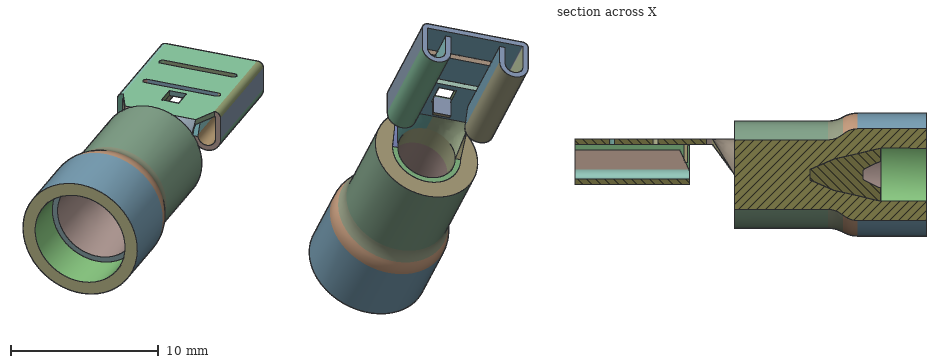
import cadquery as cq
import math

OVERALL_LENGTH = 23.8
SHEET = 0.38

SLEEVE_LENGTH = 13.0
MOUTH_RADIUS = 4.175
GRIP_RADIUS = 3.64
MOUTH_LENGTH = 4.65
SHOULDER_LENGTH = 2.0

BARREL_START = 3.1
BARREL_MOUTH_RADIUS = 3.28
BARREL_RADIUS = 2.42
BARREL_TAPER_END = 11.3

PLATE_TOP = BARREL_RADIUS
PLATE_BOTTOM = PLATE_TOP - SHEET
NECK_END = 14.5
NECK_HALF_WIDTH = 2.58
RECEPTACLE_LENGTH = 7.76
RECEPTACLE_START = OVERALL_LENGTH - RECEPTACLE_LENGTH
RECEPTACLE_HALF_WIDTH = 3.77
CORNER_RADIUS = 0.44
CURL_RADIUS = 1.02
CURL_BOTTOM = -0.67
CURL_END_GAP = 0.38
CURL_SLOPE_BOTTOM = 0.25
CURL_SLOPE_ANGLE = 25

SLOT_LENGTH = 5.64
SLOT_WIDTH = 0.48
SLOT_POSITIONS = (18.35, 21.29)

WINDOW_WIDTH = 1.24
WINDOW_START = 16.19
WINDOW_LENGTH = 1.47
TAB_THICKNESS = 0.24
TAB_BOTTOM = 0.83
TAB_INNER_BEND = 0.18


def revolve_about_wire_axis(profile):
    """Revolve a profile, drawn in YZ with Z as the radius, about the Y axis."""
    return profile.close().revolve(360, (0, 0, 0), (1, 0, 0))


def barrel_envelope():
    """Solid with the outside shape of the barrel, from its open end to the sleeve's far end."""
    return revolve_about_wire_axis(
        cq.Workplane("YZ")
        .moveTo(BARREL_START, 0)
        .lineTo(BARREL_START, BARREL_MOUTH_RADIUS)
        .lineTo(BARREL_TAPER_END, BARREL_RADIUS)
        .lineTo(SLEEVE_LENGTH, BARREL_RADIUS)
        .lineTo(SLEEVE_LENGTH, 0)
    )


def make_sleeve():
    """Insulating sleeve with an S-shaped shoulder and a bore that matches the barrel."""
    half_drop = (MOUTH_RADIUS - GRIP_RADIUS) / 2
    half_length = SHOULDER_LENGTH / 2
    shoulder_start = MOUTH_LENGTH
    shoulder_middle = (shoulder_start + half_length, MOUTH_RADIUS - half_drop)
    shoulder_end = (shoulder_start + SHOULDER_LENGTH, GRIP_RADIUS)
    body = revolve_about_wire_axis(
        cq.Workplane("YZ")
        .lineTo(0, MOUTH_RADIUS)
        .lineTo(shoulder_start, MOUTH_RADIUS)
        .tangentArcPoint(shoulder_middle, relative=False)
        .tangentArcPoint(shoulder_end, relative=False)
        .lineTo(SLEEVE_LENGTH, GRIP_RADIUS)
        .lineTo(SLEEVE_LENGTH, 0)
    )
    wire_entry = cq.Workplane("XZ").circle(BARREL_MOUTH_RADIUS).extrude(-BARREL_START)
    return body.cut(wire_entry).cut(barrel_envelope())


def make_barrel():
    """Wire barrel: a tapered tube leading into a straight one, of constant wall."""
    bore = revolve_about_wire_axis(
        cq.Workplane("YZ")
        .moveTo(BARREL_START, 0)
        .lineTo(BARREL_START, BARREL_MOUTH_RADIUS - SHEET)
        .lineTo(BARREL_TAPER_END, BARREL_RADIUS - SHEET)
        .lineTo(SLEEVE_LENGTH, BARREL_RADIUS - SHEET)
        .lineTo(SLEEVE_LENGTH, 0)
    )
    return barrel_envelope().cut(bore)


def make_neck():
    """Neck that opens out from the barrel's upper half into the flat plate, mirrored about the middle."""
    outer_radius = BARREL_RADIUS
    inner_radius = BARREL_RADIUS - SHEET
    outer_diagonal = outer_radius * math.sqrt(0.5)
    inner_diagonal = inner_radius * math.sqrt(0.5)
    half_neck = (
        cq.Workplane("XZ", origin=(0, SLEEVE_LENGTH, 0))
        .moveTo(0, outer_radius)
        .threePointArc((outer_diagonal, outer_diagonal), (outer_radius, 0))
        .lineTo(inner_radius, 0)
        .threePointArc((inner_diagonal, inner_diagonal), (0, inner_radius))
        .close()
        .workplane(offset=SLEEVE_LENGTH - NECK_END)
        .moveTo(0, PLATE_TOP)
        .lineTo(NECK_HALF_WIDTH, PLATE_TOP)
        .lineTo(NECK_HALF_WIDTH, PLATE_BOTTOM)
        .lineTo(0, PLATE_BOTTOM)
        .close()
        .loft(ruled=True)
    )
    return half_neck.union(half_neck.mirror("YZ"))


def make_plate():
    """Flat plate that widens from the neck and runs to the open end of the receptacle."""
    half_width = RECEPTACLE_HALF_WIDTH - CORNER_RADIUS
    return (
        cq.Workplane("XY", origin=(0, 0, PLATE_BOTTOM))
        .polyline([
            (-NECK_HALF_WIDTH, NECK_END),
            (NECK_HALF_WIDTH, NECK_END),
            (half_width, RECEPTACLE_START),
            (half_width, OVERALL_LENGTH),
            (-half_width, OVERALL_LENGTH),
            (-half_width, RECEPTACLE_START),
        ])
        .close()
        .extrude(SHEET)
    )


def make_side_wall():
    """Side wall on +X: bent down from the plate, then rolled inward and up again."""
    outer_x = RECEPTACLE_HALF_WIDTH
    bend_x = outer_x - CORNER_RADIUS
    bend_z = PLATE_TOP - CORNER_RADIUS
    bend_inner = CORNER_RADIUS - SHEET
    curl_x = outer_x - CURL_RADIUS
    curl_z = CURL_BOTTOM + CURL_RADIUS
    curl_inner = CURL_RADIUS - SHEET
    curl_end = PLATE_BOTTOM - CURL_END_GAP
    diagonal = math.sqrt(0.5)
    bend_outer_middle = (bend_x + CORNER_RADIUS * diagonal, bend_z + CORNER_RADIUS * diagonal)
    bend_inner_middle = (bend_x + bend_inner * diagonal, bend_z + bend_inner * diagonal)
    wall = (
        cq.Workplane("XZ", origin=(0, RECEPTACLE_START, 0))
        .moveTo(bend_x, PLATE_TOP)
        .threePointArc(bend_outer_middle, (outer_x, bend_z))
        .lineTo(outer_x, curl_z)
        .threePointArc((curl_x, CURL_BOTTOM), (curl_x - CURL_RADIUS, curl_z))
        .lineTo(curl_x - CURL_RADIUS, curl_end)
        .lineTo(curl_x - curl_inner, curl_end)
        .lineTo(curl_x - curl_inner, curl_z)
        .threePointArc((curl_x, curl_z - curl_inner), (curl_x + curl_inner, curl_z))
        .lineTo(outer_x - SHEET, bend_z)
        .threePointArc(bend_inner_middle, (bend_x, PLATE_BOTTOM))
        .close()
        .extrude(-RECEPTACLE_LENGTH)
    )

    slope_height = curl_end - CURL_SLOPE_BOTTOM
    slope_run = slope_height * math.tan(math.radians(CURL_SLOPE_ANGLE))
    sloped_corner = (
        cq.Workplane("YZ", origin=(curl_x - CURL_RADIUS, 0, 0))
        .moveTo(RECEPTACLE_START, CURL_SLOPE_BOTTOM)
        .lineTo(RECEPTACLE_START + slope_run, curl_end)
        .lineTo(RECEPTACLE_START, curl_end)
        .close()
        .extrude(CURL_RADIUS)
    )
    return wall.cut(sloped_corner)


def make_plate_openings():
    """Cutters for the cross slots and for the window."""
    window = (
        cq.Workplane("XY", origin=(0, WINDOW_START + WINDOW_LENGTH / 2, PLATE_BOTTOM))
        .rect(WINDOW_WIDTH, WINDOW_LENGTH)
        .extrude(SHEET)
    )
    slots = (
        cq.Workplane("XY", origin=(0, 0, PLATE_BOTTOM))
        .pushPoints([(0, y) for y in SLOT_POSITIONS])
        .slot2D(SLOT_LENGTH, SLOT_WIDTH)
        .extrude(SHEET)
    )
    return window.union(slots)


def make_tab():
    """Locking tab bent straight down from the neck-side edge of the window."""
    front = WINDOW_START
    back = front + TAB_THICKNESS
    diagonal = math.sqrt(0.5)
    outer_bend_middle = (
        front + TAB_THICKNESS * diagonal,
        PLATE_TOP - TAB_THICKNESS * (1 - diagonal),
    )
    inner_bend_middle = (
        front - TAB_INNER_BEND * (1 - diagonal),
        PLATE_BOTTOM - TAB_INNER_BEND * (1 - diagonal),
    )
    return (
        cq.Workplane("YZ", origin=(-WINDOW_WIDTH / 2, 0, 0))
        .moveTo(front, PLATE_TOP)
        .threePointArc(outer_bend_middle, (back, PLATE_TOP - TAB_THICKNESS))
        .lineTo(back, TAB_BOTTOM)
        .lineTo(front, TAB_BOTTOM)
        .lineTo(front, PLATE_BOTTOM - TAB_INNER_BEND)
        .threePointArc(inner_bend_middle, (front - TAB_INNER_BEND, PLATE_BOTTOM))
        .lineTo(front, PLATE_BOTTOM)
        .close()
        .extrude(WINDOW_WIDTH)
    )


def make_terminal():
    """Sheet-metal terminal: barrel, neck, plate, rolled side walls and locking tab."""
    side_wall = make_side_wall()
    plate = make_plate().cut(make_plate_openings())
    return (
        make_barrel()
        .union(make_neck())
        .union(plate)
        .union(side_wall)
        .union(side_wall.mirror("YZ"))
        .union(make_tab())
    )


sleeve = make_sleeve()
terminal = make_terminal()

result = cq.Compound.makeCompound([sleeve.val(), *terminal.vals()])